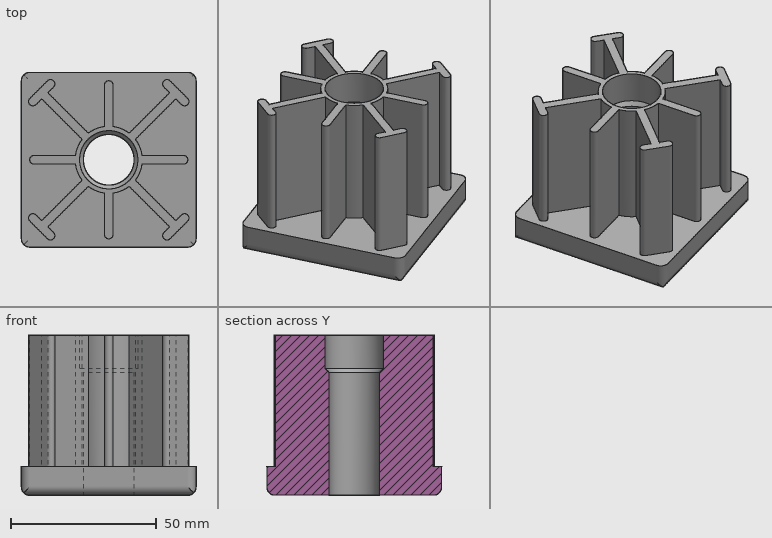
import cadquery as cq

plate_size = 60.0
plate_thickness = 10.0
plate_edge_radius = 3.0

total_height = 54.99
hub_diameter = 23.0
bore_diameter = 20.0
bore_depth = 11.4
through_hole_diameter = 17.29

rib_thickness = 3.0
straight_rib_reach = 27.1
diagonal_rib_reach = 34.0
crossbar_length = 11.5

rib_height = total_height - plate_thickness
straight_rib_angles = (0, 90, 180, 270)
diagonal_rib_angles = (45, 135, 225, 315)


def make_plate():
    """Square plate: the overlap of three prisms, so its lower corners are mitred, not spherical."""
    plate = (
        cq.Workplane("XY")
        .rect(plate_size, plate_size)
        .extrude(plate_thickness)
        .edges("|Z")
        .fillet(plate_edge_radius)
    )
    for axis in ("|X", "|Y"):
        rounded_below = (
            cq.Workplane("XY")
            .rect(plate_size, plate_size)
            .extrude(plate_thickness)
            .edges("<Z and " + axis)
            .fillet(plate_edge_radius)
        )
        plate = plate.intersect(rounded_below)
    return plate


def make_hub():
    return (
        cq.Workplane("XY")
        .workplane(offset=plate_thickness)
        .circle(hub_diameter / 2)
        .extrude(rib_height)
    )


def make_straight_rib(angle):
    """Radial rib with a fully rounded outer end, starting on the hub axis."""
    tip_center = straight_rib_reach - rib_thickness / 2
    half_thickness = rib_thickness / 2
    return (
        cq.Workplane("XY")
        .workplane(offset=plate_thickness)
        .moveTo(0, -half_thickness)
        .lineTo(tip_center, -half_thickness)
        .threePointArc((straight_rib_reach, 0), (tip_center, half_thickness))
        .lineTo(0, half_thickness)
        .close()
        .extrude(rib_height)
        .rotate((0, 0, 0), (0, 0, 1), angle)
    )


def make_diagonal_rib(angle):
    """T-shaped rib: a radial web closed by a crossbar with rounded ends."""
    crossbar_center = diagonal_rib_reach - rib_thickness / 2
    web = (
        cq.Workplane("XY")
        .workplane(offset=plate_thickness)
        .center(crossbar_center / 2, 0)
        .rect(crossbar_center, rib_thickness)
        .extrude(rib_height)
    )
    crossbar = (
        cq.Workplane("XY")
        .workplane(offset=plate_thickness)
        .center(crossbar_center, 0)
        .slot2D(crossbar_length, rib_thickness, 90)
        .extrude(rib_height)
    )
    return web.union(crossbar).rotate((0, 0, 0), (0, 0, 1), angle)


def make_bore():
    """Hollow of the hub: wide bore at the top, 45 degree cone, then a narrower hole through the plate."""
    wide_radius = bore_diameter / 2
    narrow_radius = through_hole_diameter / 2
    cone_top = total_height - bore_depth
    cone_bottom = cone_top - (wide_radius - narrow_radius)
    return (
        cq.Workplane("XZ")
        .moveTo(0, 0)
        .lineTo(narrow_radius, 0)
        .lineTo(narrow_radius, cone_bottom)
        .lineTo(wide_radius, cone_top)
        .lineTo(wide_radius, total_height)
        .lineTo(0, total_height)
        .close()
        .revolve(360, (0, 0, 0), (0, 1, 0))
    )


body = make_plate().union(make_hub())
for angle in straight_rib_angles:
    body = body.union(make_straight_rib(angle))
for angle in diagonal_rib_angles:
    body = body.union(make_diagonal_rib(angle))

result = body.cut(make_bore())